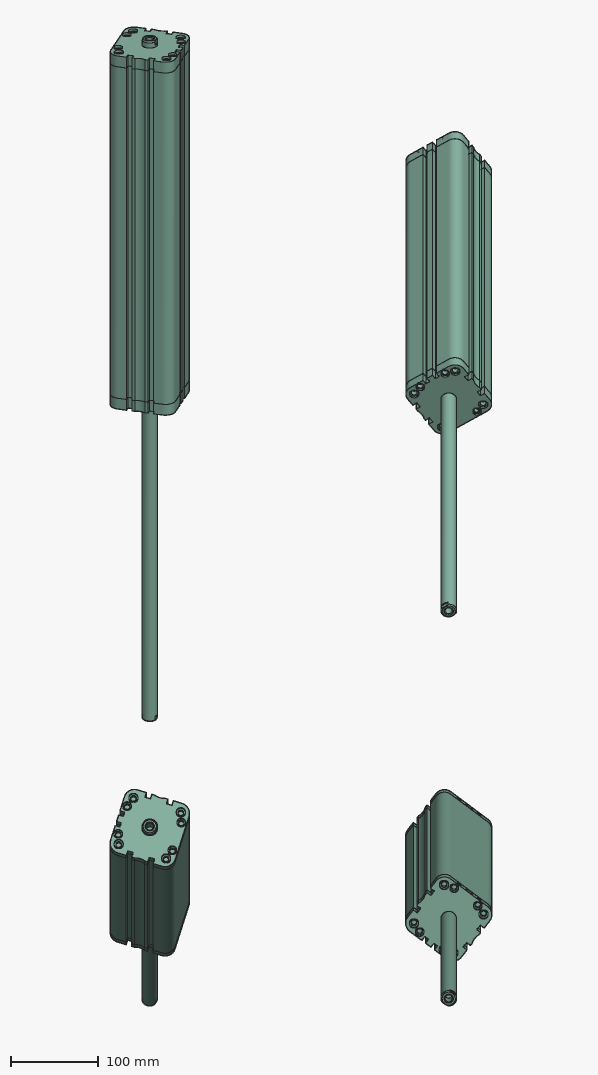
import cadquery as cq
import math

body_width = 77.0
half_width = body_width / 2
corner_radius = 12.0
body_length = 449.0
cap_length = 13.8
tube_length = body_length - 2 * cap_length
tube_top = body_length - cap_length
bore_diameter = 63.0

groove_depth = 5.6
groove_floor = half_width - groove_depth
side_groove_width = 6.5
side_groove_offset = 12.8
back_groove_width = 5.2
back_groove_offset = 6.5

channel_radius = 16.0
channel_width = 12.0

hole_diameter = 6.65
hole_depth = 10.0
recess_depth = 3.0
mount_recess_diameter = 10.5
mount_spacing = 56.5
screw_recess_diameter = 9.8
screw_x = 32.3
screw_y = 17.0

port_diameter = 9.8
port_depth = 7.0
side_hole_diameter = 5.3
side_hole_offset = 14.3
side_hole_depth = 2.5

rod_length = 865.0
rod_diameter = 18.0
rod_top_projection = 8.0
rod_top = body_length + rod_top_projection
rod_bottom = rod_top - rod_length
rod_tip_diameter = 15.0
rod_chamfer = (rod_diameter - rod_tip_diameter) / 2
flat_width = 15.5
flat_length = 5.5
rod_thread_diameter = 8.38
rod_thread_depth = 20.0
countersink_diameter = 10.5
countersink_depth = (countersink_diameter - rod_thread_diameter) / 2

UP = 1
DOWN = -1
SIGNS = (-1, 1)
CORNERS = [(x_sign, y_sign) for x_sign in SIGNS for y_sign in SIGNS]


def plane_at(height):
    """Horizontal workplane at the given height."""
    return cq.Workplane("XY").workplane(offset=height)


def profile_block(bottom, length):
    """Rounded square bar with the lengthwise grooves and channels."""
    block = plane_at(bottom).rect(body_width, body_width).extrude(length)
    block = block.edges("|Z").fillet(corner_radius)

    groove_center = groove_floor + groove_depth / 2
    side_points = [(x_sign * side_groove_offset, y_sign * groove_center) for x_sign, y_sign in CORNERS]
    side_grooves = plane_at(bottom).pushPoints(side_points).rect(side_groove_width, groove_depth)
    block = block.cut(side_grooves.extrude(length))

    back_points = [(groove_center, y_sign * back_groove_offset) for y_sign in SIGNS]
    back_grooves = plane_at(bottom).pushPoints(back_points).rect(groove_depth, back_groove_width)
    block = block.cut(back_grooves.extrude(length))

    channel_center = half_width + math.sqrt(channel_radius**2 - (channel_width / 2) ** 2)
    channel_points = [(0, y_sign * channel_center) for y_sign in SIGNS]
    channels = plane_at(bottom).pushPoints(channel_points).circle(channel_radius)
    return block.cut(channels.extrude(length))


def make_tube():
    """Profiled tube between the caps."""
    bore = plane_at(cap_length).circle(bore_diameter / 2).extrude(tube_length)
    return profile_block(cap_length, tube_length).cut(bore)


def end_holes(points, diameter, end_face, inward, depth):
    """Round cutters that run from a cap's end face into the cap."""
    return plane_at(end_face).pushPoints(points).circle(diameter / 2).extrude(inward * depth)


def side_holes(offsets, diameter, height, depth):
    """Round cutters that run from the -X side into a cap."""
    side_plane = cq.Workplane("YZ").workplane(offset=-half_width)
    points = [(offset, height) for offset in offsets]
    return side_plane.pushPoints(points).circle(diameter / 2).extrude(depth)


def make_cap(end_face, inward):
    """End cap whose outer face lies at end_face; inward points to the tube."""
    bottom = min(end_face, end_face + inward * cap_length)
    middle = bottom + cap_length / 2
    mount_points = [(x_sign * mount_spacing / 2, y_sign * mount_spacing / 2) for x_sign, y_sign in CORNERS]
    screw_points = [(x_sign * screw_x, y_sign * screw_y) for x_sign, y_sign in CORNERS]

    cap = profile_block(bottom, cap_length)
    cap = cap.cut(end_holes([(0, 0)], rod_diameter, end_face, inward, cap_length))
    cap = cap.cut(end_holes(mount_points, mount_recess_diameter, end_face, inward, recess_depth))
    cap = cap.cut(end_holes(screw_points, screw_recess_diameter, end_face, inward, recess_depth))
    cap = cap.cut(end_holes(mount_points + screw_points, hole_diameter, end_face, inward, hole_depth))

    cap = cap.cut(side_holes([0], port_diameter, middle, port_depth))
    side_offsets = [y_sign * side_hole_offset for y_sign in SIGNS]
    return cap.cut(side_holes(side_offsets, side_hole_diameter, middle, side_hole_depth))


def cut_rod_end(rod, end_face, inward):
    """Cut the wrench flats and the countersunk threaded hole at one rod end."""
    end_plane = plane_at(end_face)
    outside = end_plane.rect(2 * rod_diameter, 2 * rod_diameter).extrude(inward * flat_length)
    kept = end_plane.rect(flat_width, 2 * rod_diameter).extrude(inward * flat_length)
    thread = end_plane.circle(rod_thread_diameter / 2).extrude(inward * rod_thread_depth)
    countersink = cq.Solid.makeCone(
        countersink_diameter / 2,
        rod_thread_diameter / 2,
        countersink_depth,
        pnt=cq.Vector(0, 0, end_face),
        dir=cq.Vector(0, 0, inward),
    )
    return rod.cut(outside.cut(kept)).cut(thread).cut(cq.Workplane(countersink))


def make_rod():
    """Through rod with chamfered ends, wrench flats and end threads."""
    rod = plane_at(rod_bottom).circle(rod_diameter / 2).extrude(rod_length)
    rod = rod.faces("<Z or >Z").chamfer(rod_chamfer)
    rod = cut_rod_end(rod, rod_top, DOWN)
    return cut_rod_end(rod, rod_bottom, UP)


tube = make_tube()
bottom_cap = make_cap(0, UP)
top_cap = make_cap(body_length, DOWN)
rod = make_rod()

result = cq.Compound.makeCompound([tube.val(), bottom_cap.val(), top_cap.val(), rod.val()])